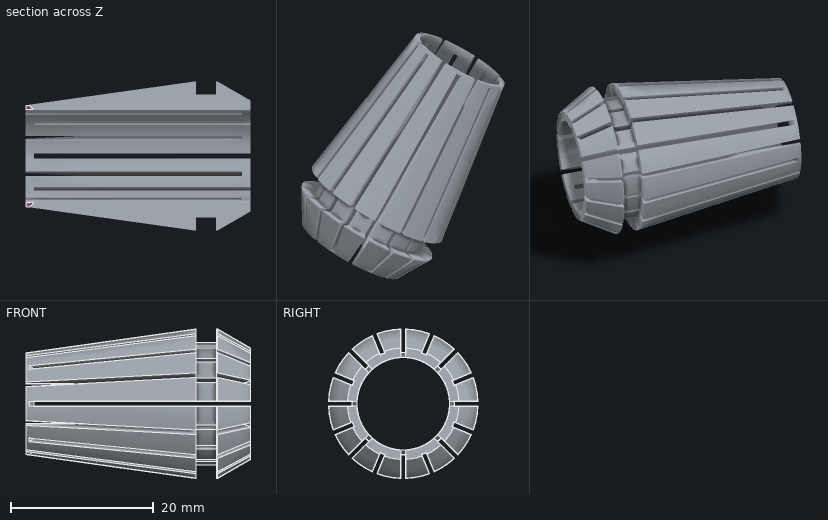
import cadquery as cq
import math

LENGTH = 31.5
MAX_RADIUS = 10.5
BORE_RADIUS = 6.5

TAPER_LENGTH = 23.88
TAPER_ANGLE = 8.0
GROOVE_WIDTH = 2.85
GROOVE_RADIUS = 8.63
HEAD_LAND = 0.15
HEAD_ANGLE = 30.0

SLOTS_PER_END = 8
SLOT_PITCH = 360.0 / SLOTS_PER_END
SLOT_WIDTH = 0.7
SLOT_END_RADIUS = 7.6
SLOT_END_ANGLE = 44.0
CLEARANCE = 1.58


def drop(run, angle):
    """Change of radius over an axial run at an angle to the axis."""
    return run * math.tan(math.radians(angle))


def make_body():
    """Revolved collet before slotting."""
    head_start = TAPER_LENGTH + GROOVE_WIDTH
    cone_start = head_start + HEAD_LAND
    narrow_radius = MAX_RADIUS - drop(TAPER_LENGTH, TAPER_ANGLE)
    face_radius = MAX_RADIUS - drop(LENGTH - cone_start, HEAD_ANGLE)
    half_section = [
        (0, BORE_RADIUS),
        (0, narrow_radius),
        (TAPER_LENGTH, MAX_RADIUS),
        (TAPER_LENGTH, GROOVE_RADIUS),
        (head_start, GROOVE_RADIUS),
        (head_start, MAX_RADIUS),
        (cone_start, MAX_RADIUS),
        (LENGTH, face_radius),
        (LENGTH, BORE_RADIUS),
    ]
    return cq.Workplane("XY").polyline(half_section).close().revolve(360, (0, 0, 0), (1, 0, 0))


def make_head_slot_cutter():
    """Cutter along +Y, open at the head and sloping to its end near the narrow face."""
    inner_radius = BORE_RADIUS - CLEARANCE
    outer_radius = MAX_RADIUS + CLEARANCE

    def slot_end(radius):
        return (SLOT_END_RADIUS - radius) / math.tan(math.radians(SLOT_END_ANGLE))

    outline = [
        (slot_end(inner_radius), inner_radius),
        (slot_end(outer_radius), outer_radius),
        (LENGTH + CLEARANCE, outer_radius),
        (LENGTH + CLEARANCE, inner_radius),
    ]
    return cq.Workplane("XY").polyline(outline).close().extrude(SLOT_WIDTH / 2, both=True)


def cut_slots(body, cutter, first_angle):
    """Cut one evenly spaced set of slots around the X axis."""
    for i in range(SLOTS_PER_END):
        angle = first_angle + i * SLOT_PITCH
        body = body.cut(cutter.rotate((0, 0, 0), (1, 0, 0), angle))
    return body


head_slot = make_head_slot_cutter()
narrow_slot = head_slot.mirror("YZ", (LENGTH / 2, 0, 0))

result = make_body()
result = cut_slots(result, head_slot, 0)
result = cut_slots(result, narrow_slot, SLOT_PITCH / 2)